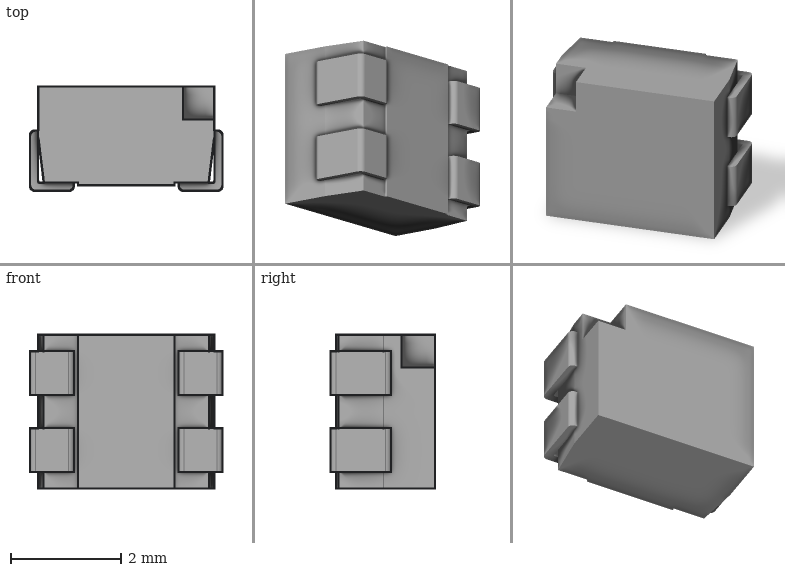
import cadquery as cq
import math

overall_width = 3.5
overall_depth = 1.9
body_length = 2.8

terminal_thickness = 0.15
terminal_leg_length = 1.1
terminal_foot_length = 0.8
terminal_strip_width = 0.8
terminal_pitch = 1.4
terminal_outer_radius = 0.1
terminal_inner_radius = 0.03

body_width = overall_width - 2 * terminal_thickness
back_y = overall_depth / 2
feet_y = -overall_depth / 2
seat_y = feet_y + terminal_thickness
side_taper_length = 0.817
side_taper_angle = 7.0
side_taper_inset = side_taper_length * math.tan(math.radians(side_taper_angle))

pad_width = 1.76
pad_height = 0.05

notch_width = 0.57
notch_depth = 0.605
notch_height = 0.6


def make_body():
    """Block with tapered sides towards the feet and a raised central pad."""
    half_width = body_width / 2
    block = (
        cq.Workplane("XY")
        .moveTo(-half_width, back_y)
        .lineTo(half_width, back_y)
        .lineTo(half_width, seat_y + side_taper_length)
        .lineTo(half_width - side_taper_inset, seat_y)
        .lineTo(-half_width + side_taper_inset, seat_y)
        .lineTo(-half_width, seat_y + side_taper_length)
        .close()
        .extrude(body_length / 2, both=True)
    )
    pad = cq.Workplane("XY").box(pad_width, pad_height, body_length).translate((0, seat_y - pad_height / 2, 0))
    return block.union(pad)


def make_notch():
    """Box removed from the top, back, +X corner of the body."""
    return (
        cq.Workplane("XY")
        .box(notch_width, notch_depth, notch_height)
        .translate((
            (body_width - notch_width) / 2,
            back_y - notch_depth / 2,
            (body_length - notch_height) / 2,
        ))
    )


def make_left_terminal():
    """L-shaped terminal on the -X side, centred on Z = 0."""
    outer_x = -overall_width / 2
    inner_x = outer_x + terminal_thickness
    foot_x = outer_x + terminal_foot_length
    leg_y = feet_y + terminal_leg_length
    strip = (
        cq.Workplane("XY")
        .moveTo(outer_x, feet_y)
        .lineTo(foot_x, feet_y)
        .lineTo(foot_x, seat_y)
        .lineTo(inner_x, seat_y)
        .lineTo(inner_x, leg_y)
        .lineTo(outer_x, leg_y)
        .close()
        .extrude(terminal_strip_width / 2, both=True)
    )
    for outer_corner in ((outer_x, feet_y, 0), (foot_x, feet_y, 0), (outer_x, leg_y, 0)):
        strip = strip.edges(cq.NearestToPointSelector(outer_corner)).fillet(terminal_outer_radius)
    return strip.edges(cq.NearestToPointSelector((inner_x, seat_y, 0))).fillet(terminal_inner_radius)


left_terminal = make_left_terminal()
right_terminal = left_terminal.mirror("YZ")

result = make_body().cut(make_notch())
for terminal_z in (-terminal_pitch / 2, terminal_pitch / 2):
    for terminal in (left_terminal, right_terminal):
        result = result.union(terminal.translate((0, 0, terminal_z)))